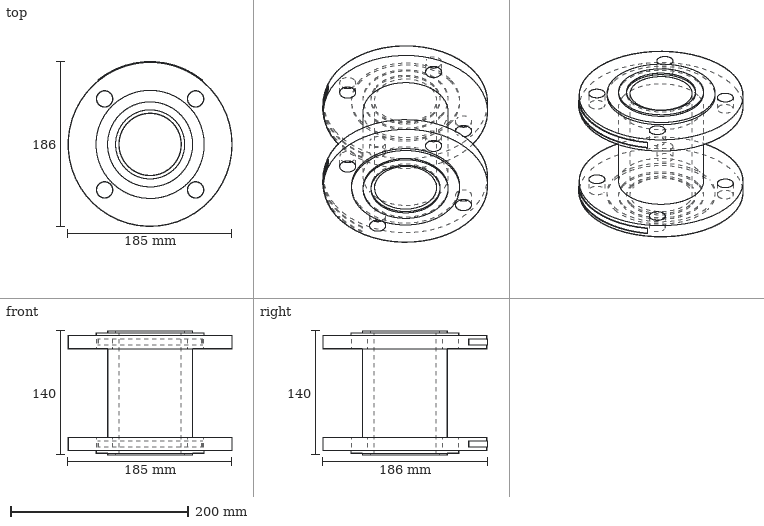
import cadquery as cq
import math

length = 140.0

pipe_diameter = 96.0
bore_diameter = 70.0
recess_diameter = 78.0
recess_depth = 2.0

flange_diameter = 185.0
flange_thickness = 15.0
face_diameter = 122.0
face_height = 3.0
pipe_overhang = 2.0

bolt_circle_diameter = 145.0
bolt_hole_diameter = 18.0
bolt_hole_count = 4
bolt_hole_start_angle = 45

overall_depth = 186.0
band_height = overall_depth - flange_diameter
band_width = 6.9
band_half_angle = 39

end_z = length / 2
face_z = end_z - pipe_overhang
flange_outer_z = face_z - face_height
flange_inner_z = flange_outer_z - flange_thickness
band_z = (flange_outer_z + flange_inner_z - band_width) / 2


def cylinder(diameter, bottom_z, top_z):
    """Solid cylinder on the Z axis between two heights."""
    return cq.Workplane("XY").workplane(offset=bottom_z).circle(diameter / 2).extrude(top_z - bottom_z)


def rim_point(radius, angle_from_y):
    """Point at a radius, with its angle in degrees measured from +Y towards +X."""
    angle = math.radians(angle_from_y)
    return (radius * math.sin(angle), radius * math.cos(angle))


def marking_band():
    """Low arc-shaped band, rooted inside the rim so that it fuses with it."""
    outer_radius = flange_diameter / 2 + band_height
    root_radius = flange_diameter / 2 - band_height
    return (
        cq.Workplane("XY")
        .workplane(offset=band_z)
        .moveTo(*rim_point(root_radius, -band_half_angle))
        .lineTo(*rim_point(outer_radius, -band_half_angle))
        .threePointArc(rim_point(outer_radius, 0), rim_point(outer_radius, band_half_angle))
        .lineTo(*rim_point(root_radius, band_half_angle))
        .threePointArc(rim_point(root_radius, 0), rim_point(root_radius, -band_half_angle))
        .close()
        .extrude(band_width)
    )


def upper_flange():
    """Flange disc with its raised face, marking band and bolt holes."""
    disc = cylinder(flange_diameter, flange_inner_z, flange_outer_z)
    raised_face = cylinder(face_diameter, flange_outer_z, face_z)
    bolt_holes = (
        cq.Workplane("XY")
        .workplane(offset=flange_inner_z)
        .polarArray(bolt_circle_diameter / 2, bolt_hole_start_angle, 360, bolt_hole_count)
        .circle(bolt_hole_diameter / 2)
        .extrude(flange_thickness)
    )
    return disc.union(raised_face).union(marking_band()).cut(bolt_holes)


flange = upper_flange()
spool = cylinder(pipe_diameter, -end_z, end_z).union(flange).union(flange.mirror("XY"))

bore = cylinder(bore_diameter, -end_z, end_z)
upper_recess = cylinder(recess_diameter, end_z - recess_depth, end_z)
result = spool.cut(bore).cut(upper_recess).cut(upper_recess.mirror("XY"))